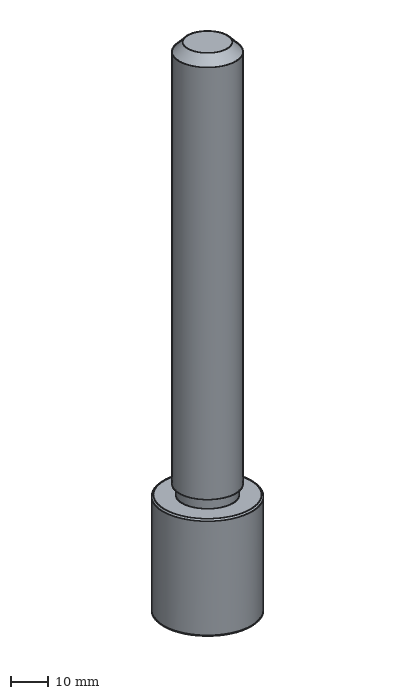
import cadquery as cq

total_length = 170.0
head_diameter = 30.0
head_length = 35.0
head_chamfer = 0.5
neck_diameter = 17.0
neck_length = 3.2
shank_diameter = 19.0
tip_diameter = 13.3
tip_length = 2.9

head_radius = head_diameter / 2
neck_radius = neck_diameter / 2
shank_radius = shank_diameter / 2
tip_radius = tip_diameter / 2
shank_bottom = head_length + neck_length
tip_bottom = total_length - tip_length

half_section = (
    cq.Workplane("XZ")
    .moveTo(0, 0)
    .lineTo(head_radius - head_chamfer, 0)
    .lineTo(head_radius, head_chamfer)
    .lineTo(head_radius, head_length - head_chamfer)
    .lineTo(head_radius - head_chamfer, head_length)
    .lineTo(neck_radius, head_length)
    .lineTo(neck_radius, shank_bottom)
    .lineTo(shank_radius, shank_bottom)
    .lineTo(shank_radius, tip_bottom)
    .lineTo(tip_radius, total_length)
    .lineTo(0, total_length)
    .close()
)
result = half_section.revolve(360, (0, 0, 0), (0, 1, 0))